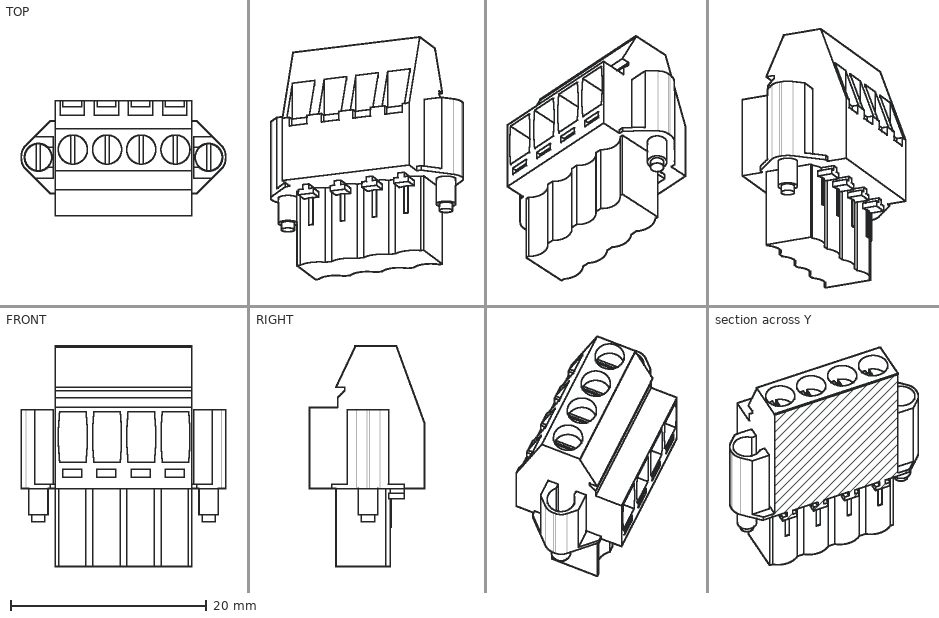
import cadquery as cq


EPS = 0.11

OVERALL_WIDTH = 20.95
OVERALL_HEIGHT = 22.6

POLES = 4
PITCH = 3.5
BODY_WIDTH = POLES * PITCH
pole_xs = [(i - (POLES - 1) / 2) * PITCH for i in range(POLES)]

REAR_Y = 5.8
FRONT_Y = -6.01
TOP_Z = 14.62
REAR_SLOPE_Z = 6.7
TOP_REAR_Y = 2.92
TOP_FRONT_Y = -1.35
TOP_LIP = 0.15
EAVE_Y = -3.3
EAVE_Z = 10.37
GROOVE_Y = -2.4
GROOVE_Z = 10.05
NECK_Y = -3.12
NECK_Z = 9.33
LEDGE_Z = 8.35

PLUG_BOTTOM_Z = TOP_Z - OVERALL_HEIGHT
PLUG_FRONT_Y = EAVE_Y
PLUG_REAR_Y = 1.8
ARC_HALF_WIDTH = 1.4
SCALLOP_DEPTH = 0.65
LOBE_HEIGHT = 0.5
RIDGE_WIDTH = 0.45
RIDGE_HEIGHT = 0.07
RIDGE_LENGTH = 3.93

KEY_STEM_WIDTH = 0.68
KEY_HEAD_WIDTH = 1.63
KEY_STEP = 0.47
KEY_HEIGHT = 1.05

ENTRY_BOTTOM_Z = 2.73
ENTRY_TOP_Z = 7.89
ENTRY_END_WIDTH = 2.71
ENTRY_MIDDLE_WIDTH = 2.98
ENTRY_DEPTH = 5.42
ENTRY_SHIFT = 0.07
SLOT_WIDTH = 1.97
SLOT_HEIGHT = 0.81
SLOT_BOTTOM_Z = 1.2
SLOT_DEPTH = 0.47

POCKET_WIDTH = 2.49
POCKET_FRONT_Y = 4.3
NOTCH_WIDTH = 1.92
NOTCH_FRONT_Y = 5.18
NOTCH_DEPTH = 0.9

CLAMP_RADIUS = 1.5
CLAMP_SHIFT = 0.07
CLAMP_Y = 0.8
CLAMP_SINK = 1.92
CLAMP_LENGTH = 3.4
DRIVE_SLOT_WIDTH = 0.4
DRIVE_SLOT_DEPTH = 0.45

FLANGE_X = 8.72
FLANGE_END_X = OVERALL_WIDTH / 2
FLANGE_CORNER_X = 7.5
FLANGE_HALF_DEPTH = 3.73
FLANGE_BEND_RADIUS = 1.54
PLATE_HEIGHT = 0.47
SEAT_Z = 0.95
TOWER_HALF_DEPTH = 2.12
TOWER_HEIGHT = 8.11
TOWER_GAP = 0.18
TOWER_BORE_RADIUS = 1.42
TOWER_OPENING = 2.01

HEAD_RADIUS = 1.38
HEAD_HEIGHT = 2.25
SHANK_RADIUS = 1.0
SHANK_END_Z = -2.7
TIP_RADIUS = 0.68
TIP_END_Z = -3.4


def box(x_min, x_max, y_min, y_max, z_min, z_max):
    """Axis-aligned box between the given limits."""
    size = (x_max - x_min, y_max - y_min, z_max - z_min)
    return cq.Workplane("XY").box(*size, centered=False).translate((x_min, y_min, z_min))


def pole_box(x, width, y_min, y_max, z_min, z_max):
    """Box of the given width centred on the pole at x."""
    return box(x - width / 2, x + width / 2, y_min, y_max, z_min, z_max)


def cylinder(x, y, radius, z_min, z_max):
    """Upright cylinder between two heights."""
    return cq.Workplane("XY", origin=(x, y, z_min)).circle(radius).extrude(z_max - z_min)


def main_body():
    """Side profile with the latch groove, extruded over the full row."""
    profile = [
        (REAR_Y, 0),
        (REAR_Y, REAR_SLOPE_Z),
        (TOP_REAR_Y, TOP_Z),
        (TOP_FRONT_Y, TOP_Z),
        (TOP_FRONT_Y, TOP_Z - TOP_LIP),
        (EAVE_Y, EAVE_Z),
        (GROOVE_Y, EAVE_Z),
        (GROOVE_Y, GROOVE_Z),
        (NECK_Y, NECK_Z),
        (NECK_Y, LEDGE_Z),
        (FRONT_Y, LEDGE_Z),
        (FRONT_Y, 0),
    ]
    return cq.Workplane("YZ").polyline(profile).close().extrude(BODY_WIDTH / 2, both=True)


def plug():
    """Block with a concave scallop in front of each pole and a convex lobe behind it."""
    outline = cq.Workplane("XY", origin=(0, 0, PLUG_BOTTOM_Z)).moveTo(-BODY_WIDTH / 2, PLUG_FRONT_Y)
    for x in pole_xs:
        outline = outline.lineTo(x - ARC_HALF_WIDTH, PLUG_FRONT_Y).threePointArc(
            (x, PLUG_FRONT_Y + SCALLOP_DEPTH), (x + ARC_HALF_WIDTH, PLUG_FRONT_Y))
    outline = outline.lineTo(BODY_WIDTH / 2, PLUG_FRONT_Y).lineTo(BODY_WIDTH / 2, PLUG_REAR_Y)
    for x in reversed(pole_xs):
        outline = outline.lineTo(x + ARC_HALF_WIDTH, PLUG_REAR_Y).threePointArc(
            (x, PLUG_REAR_Y + LOBE_HEIGHT), (x - ARC_HALF_WIDTH, PLUG_REAR_Y))
    outline = outline.lineTo(-BODY_WIDTH / 2, PLUG_REAR_Y).close()
    return outline.extrude(EPS - PLUG_BOTTOM_Z)


def lobe_ridge(x):
    """Thin upright ridge on the upper part of a lobe."""
    ridge_y = PLUG_REAR_Y + LOBE_HEIGHT + RIDGE_HEIGHT
    return pole_box(x, RIDGE_WIDTH, PLUG_REAR_Y, ridge_y, -RIDGE_LENGTH, EPS)


def coding_key(x):
    """T-shaped key under the body, reaching from the lobe to the rear."""
    stem = pole_box(x, KEY_STEM_WIDTH, PLUG_REAR_Y, FLANGE_HALF_DEPTH, -KEY_STEP, EPS)
    head = pole_box(x, KEY_HEAD_WIDTH, PLUG_REAR_Y, FLANGE_HALF_DEPTH, -KEY_HEIGHT, -KEY_STEP)
    return stem.union(head)


def wire_entry(x):
    """Cutter for the barrel-shaped wire opening in the front face."""
    end = ENTRY_END_WIDTH / 2
    middle = ENTRY_MIDDLE_WIDTH / 2
    middle_z = (ENTRY_BOTTOM_Z + ENTRY_TOP_Z) / 2
    return (
        cq.Workplane("XZ", origin=(x, FRONT_Y, 0))
        .moveTo(-end, ENTRY_BOTTOM_Z)
        .lineTo(end, ENTRY_BOTTOM_Z)
        .threePointArc((middle, middle_z), (end, ENTRY_TOP_Z))
        .lineTo(-end, ENTRY_TOP_Z)
        .threePointArc((-middle, middle_z), (-end, ENTRY_BOTTOM_Z))
        .close()
        .extrude(-ENTRY_DEPTH)
    )


def test_slot(x):
    """Shallow rectangular slot below a wire entry."""
    return pole_box(x, SLOT_WIDTH, FRONT_Y - EPS, FRONT_Y + SLOT_DEPTH,
                    SLOT_BOTTOM_Z, SLOT_BOTTOM_Z + SLOT_HEIGHT)


def rear_pocket(x):
    """Pocket in the rear slope with a narrower notch in its floor."""
    pocket = pole_box(x, POCKET_WIDTH, POCKET_FRONT_Y, REAR_Y + EPS, REAR_SLOPE_Z, TOP_Z)
    notch = pole_box(x, NOTCH_WIDTH, NOTCH_FRONT_Y, REAR_Y + EPS,
                     REAR_SLOPE_Z - NOTCH_DEPTH, TOP_Z)
    return pocket.union(notch)


def clamp_well(x):
    """Blind hole that holds a clamp screw."""
    return cylinder(x, CLAMP_Y, CLAMP_RADIUS, TOP_Z - CLAMP_SINK - CLAMP_LENGTH, TOP_Z)


def flange(side):
    """Screw flange at one end of the row: base plate plus an open tower around the screw."""
    inner_x = BODY_WIDTH / 2
    nose_half = FLANGE_HALF_DEPTH - (FLANGE_END_X - FLANGE_CORNER_X)
    outline = [
        (inner_x - EPS, -FLANGE_HALF_DEPTH),
        (FLANGE_CORNER_X, -FLANGE_HALF_DEPTH),
        (FLANGE_END_X, -nose_half),
        (FLANGE_END_X, nose_half),
        (FLANGE_CORNER_X, FLANGE_HALF_DEPTH),
        (inner_x - EPS, FLANGE_HALF_DEPTH),
    ]
    full = (
        cq.Workplane("XY").polyline(outline).close().extrude(TOWER_HEIGHT)
        .edges("|Z and >X").fillet(FLANGE_BEND_RADIUS)
    )
    plate = full.intersect(box(0, FLANGE_END_X, -FLANGE_HALF_DEPTH, FLANGE_HALF_DEPTH, 0, PLATE_HEIGHT))
    tower = full.intersect(box(inner_x + TOWER_GAP, FLANGE_END_X,
                               -TOWER_HALF_DEPTH, TOWER_HALF_DEPTH, 0, TOWER_HEIGHT))
    bore = cylinder(FLANGE_X, 0, TOWER_BORE_RADIUS, SEAT_Z, TOWER_HEIGHT)
    opening = box(inner_x, FLANGE_X, -TOWER_OPENING / 2, TOWER_OPENING / 2, SEAT_Z, TOWER_HEIGHT)
    shank_hole = cylinder(FLANGE_X, 0, SHANK_RADIUS, 0, SEAT_Z)
    solid = plate.union(tower).cut(bore).cut(opening).cut(shank_hole)
    return solid if side > 0 else solid.mirror("YZ")


def make_housing():
    """Insulating housing with plug, flanges and all openings."""
    solid = main_body().union(plug())
    for side in (-1, 1):
        solid = solid.union(flange(side))
    for x in pole_xs:
        solid = solid.union(lobe_ridge(x)).union(coding_key(x))
    for x in pole_xs:
        solid = solid.cut(wire_entry(x + ENTRY_SHIFT)).cut(test_slot(x))
        solid = solid.cut(rear_pocket(x)).cut(clamp_well(x + CLAMP_SHIFT))
    return solid


def drive_slot(x, y, radius, top_z):
    """Cutter for the straight screwdriver slot across a screw head."""
    return pole_box(x, DRIVE_SLOT_WIDTH, y - radius, y + radius, top_z - DRIVE_SLOT_DEPTH, top_z)


def make_clamp_screw(x):
    """Headless slotted screw that fills its well."""
    top_z = TOP_Z - CLAMP_SINK
    screw = cylinder(x, CLAMP_Y, CLAMP_RADIUS, top_z - CLAMP_LENGTH, top_z)
    return screw.cut(drive_slot(x, CLAMP_Y, CLAMP_RADIUS, top_z))


def make_flange_screw(x):
    """Slotted screw resting on the floor of the tower bore, with a stepped end."""
    head_top = SEAT_Z + HEAD_HEIGHT
    screw = (
        cylinder(x, 0, HEAD_RADIUS, SEAT_Z, head_top)
        .union(cylinder(x, 0, SHANK_RADIUS, SHANK_END_Z, SEAT_Z))
        .union(cylinder(x, 0, TIP_RADIUS, TIP_END_Z, SHANK_END_Z))
    )
    return screw.cut(drive_slot(x, 0, HEAD_RADIUS, head_top))


housing = make_housing()
clamp_screws = [make_clamp_screw(x + CLAMP_SHIFT) for x in pole_xs]
flange_screws = [make_flange_screw(side * FLANGE_X) for side in (-1, 1)]

result = cq.Compound.makeCompound([
    housing.solids().val(),
    *[screw.solids().val() for screw in clamp_screws],
    *[screw.solids().val() for screw in flange_screws],
])